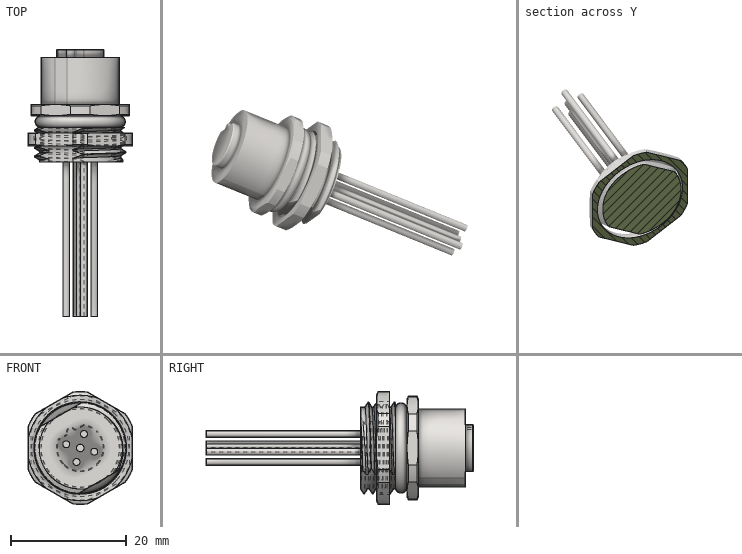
import cadquery as cq
import math


bead_rear_y = 6.0
flange_rear_y = 8.0
flange_front_y = 10.0
shell_front_y = 18.1
tip_front_y = 19.5
nut_rear_y = 2.75
nut_front_y = 5.0

shell_radius = 6.75
flat_distance = 6.65
key_angle = 120

thread_pitch = 1.5
crest_radius = 7.92
root_radius = 7.08
crest_width = 0.1
root_width = 1.2
run_in_start_angle = -50
run_in_angle = 130
thread_crest_y = 1.72
thread_overlap = 0.1
sunk_radius = root_radius - thread_overlap
flank_slope = (root_width - crest_width) / (crest_radius - root_radius)
sunk_width = root_width + flank_slope * thread_overlap

bead_section_radius = (flange_rear_y - bead_rear_y) / 2
bead_centre_radius = 6.8

flange_across_flats = 17.0
flange_corner_radius = 9.0
flange_face_radius = 8.4
nut_across_flats = 18.0
nut_corner_radius = 9.75
nut_face_radius = 9.12
nut_bore_radius = 8.0
bevel_angle = 24

tip_radius = 4.1
tip_chamfer = 0.14
tip_flat_corner_fillet = 0.15
tip_flat_distance = 3.2
key_radius = 0.78
key_fillet = 0.22

lead_length = 26.7
lead_radius = 0.6
centre_lead_radius = 0.65
lead_circle_radius = 2.5
first_lead_angle = 75
outer_lead_count = 4


def section_at(y):
    """Workplane across the axis at the given Y, with local axes X and Z."""
    return cq.Workplane("XZ", origin=(0, y, 0))


def cylinder(radius, rear_y, front_y):
    return section_at(rear_y).circle(radius).extrude(rear_y - front_y)


def double_flat_bar(rear_y, front_y):
    """Wide bar whose two long sides are the flats square to the key direction."""
    width = 4 * flat_distance
    bar = section_at(rear_y).rect(2 * flat_distance, width).extrude(rear_y - front_y)
    return bar.rotate((0, 0, 0), (0, 1, 0), -key_angle)


def hexagon(across_flats, corner_radius, rear_y, front_y):
    """Hexagonal plate with a corner at +Z and all corners rounded to one circle."""
    corner_diameter = across_flats / math.cos(math.radians(30))
    plate = (
        section_at(rear_y)
        .transformed(rotate=(0, 0, 30))
        .polygon(6, corner_diameter)
        .extrude(rear_y - front_y)
    )
    return plate.intersect(cylinder(corner_radius, rear_y, front_y))


def bevelled_disc(corner_radius, face_radius, rear_y, front_y, bevel_front):
    """Disc with a conical bevel on its rear rim, and on its front rim if asked."""
    bevel_depth = (corner_radius - face_radius) * math.tan(math.radians(bevel_angle))
    outline = (
        cq.Workplane("XY")
        .moveTo(0, rear_y)
        .lineTo(face_radius, rear_y)
        .lineTo(corner_radius, rear_y + bevel_depth)
    )
    if bevel_front:
        outline = outline.lineTo(corner_radius, front_y - bevel_depth).lineTo(face_radius, front_y)
    else:
        outline = outline.lineTo(corner_radius, front_y)
    return outline.lineTo(0, front_y).close().revolve(360, (0, 0, 0), (0, 1, 0))


def helix_edge(radius, end_radius, axial_shift, height):
    """Right-handed helix along +Z from the +X side, on a cylinder or on a widening cone."""
    if end_radius == radius:
        helix = cq.Wire.makeHelix(thread_pitch, height, radius)
    else:
        cone_angle = math.atan2(end_radius - radius, height)
        slant = 1 / math.cos(cone_angle)
        helix = cq.Wire.makeHelix(
            thread_pitch * slant, height * slant, radius, angle=math.degrees(cone_angle)
        )
    return helix.translate(cq.Vector(0, 0, axial_shift)).Edges()[0]


def thread_ridge(start_angle, turns, start_crest_radius):
    """Helical ridge toward +Y, made of ruled faces between the helices at its section's corners.

    The start angle is measured from +X toward -Z. The crest begins at its given radius
    and reaches its full radius at the end.
    """
    corners = [
        (sunk_radius, sunk_radius, -sunk_width / 2),
        (start_crest_radius, crest_radius, -crest_width / 2),
        (start_crest_radius, crest_radius, crest_width / 2),
        (sunk_radius, sunk_radius, sunk_width / 2),
    ]
    helices = [helix_edge(*corner, turns * thread_pitch) for corner in corners]
    faces = [cq.Face.makeRuledSurface(helices[i - 1], helices[i]) for i in range(len(helices))]
    for end in (0, 1):
        rim = [helix.positionAt(end) for helix in helices]
        faces.append(cq.Face.makeFromWires(cq.Wire.makePolygon(rim, close=True)))
    start_y = thread_crest_y - thread_pitch + thread_pitch * start_angle / 360
    return (
        cq.Workplane(obj=cq.Solid.makeSolid(cq.Shell.makeShell(faces)))
        .rotate((0, 0, 0), (0, 0, 1), start_angle)
        .rotate((0, 0, 0), (1, 0, 0), -90)
        .translate((0, start_y, 0))
    )


def threaded_section():
    """Core with a right-handed ridge, cut square at both ends and flattened on two sides."""
    full_turns = math.ceil(bead_rear_y / thread_pitch) + 1
    overrun = thread_pitch * (full_turns + 1)
    run_in = thread_ridge(run_in_start_angle, run_in_angle / 360, root_radius)
    ridge = thread_ridge(run_in_start_angle + run_in_angle, full_turns, crest_radius)
    core = cylinder(root_radius, -overrun, bead_rear_y + overrun)
    return core.union(ridge).union(run_in).intersect(double_flat_bar(0, bead_rear_y))


def sealing_bead():
    """Disc with a half-round rim."""
    middle_y = bead_rear_y + bead_section_radius
    return (
        cq.Workplane("XY")
        .moveTo(0, bead_rear_y)
        .lineTo(-bead_centre_radius, bead_rear_y)
        .threePointArc(
            (-bead_centre_radius - bead_section_radius, middle_y),
            (-bead_centre_radius, flange_rear_y),
        )
        .lineTo(0, flange_rear_y)
        .close()
        .revolve(360, (0, 0, 0), (0, 1, 0))
    )


def hex_flange():
    plate = hexagon(flange_across_flats, flange_corner_radius, flange_rear_y, flange_front_y)
    return plate.intersect(
        bevelled_disc(flange_corner_radius, flange_face_radius, flange_rear_y, flange_front_y, True)
    )


def shell():
    barrel = cylinder(shell_radius, flange_front_y, shell_front_y)
    return barrel.intersect(double_flat_bar(flange_front_y, shell_front_y))


def edges_beside_key(offset):
    """Selector for the two lengthwise edges of the tip's flat at this offset either side of +X."""
    middle_y = (shell_front_y + tip_front_y) / 2
    sides = [
        cq.selectors.NearestToPointSelector((tip_flat_distance, middle_y, side * offset))
        for side in (-1, 1)
    ]
    return sides[0] + sides[1]


def plug_tip():
    """Round tip, flattened on the key side, with a rounded key standing on the flat."""
    length = tip_front_y - shell_front_y
    flat_cut = (
        section_at(shell_front_y)
        .center(tip_flat_distance + tip_radius, 0)
        .rect(2 * tip_radius, 4 * tip_radius)
        .extrude(-length)
    )
    key = section_at(shell_front_y).center(tip_flat_distance, 0).circle(key_radius).extrude(-length)
    tip = cylinder(tip_radius, shell_front_y, tip_front_y).cut(flat_cut).union(key)
    flat_half_width = math.sqrt(tip_radius**2 - tip_flat_distance**2)
    tip = tip.edges(edges_beside_key(key_radius)).fillet(key_fillet)
    tip = tip.edges(edges_beside_key(flat_half_width)).fillet(tip_flat_corner_fillet)
    tip = tip.faces(">Y").chamfer(tip_chamfer)
    return tip.rotate((0, 0, 0), (0, 1, 0), -key_angle)


def leads():
    outer = (
        section_at(0)
        .polarArray(lead_circle_radius, first_lead_angle, 360, outer_lead_count)
        .circle(lead_radius)
        .extrude(lead_length)
    )
    return outer.union(cylinder(centre_lead_radius, -lead_length, 0))


def housing_body():
    body = threaded_section()
    for part in (sealing_bead(), hex_flange(), shell(), plug_tip(), leads()):
        body = body.union(part)
    return body


def lock_nut():
    plate = hexagon(nut_across_flats, nut_corner_radius, nut_rear_y, nut_front_y)
    plate = plate.intersect(
        bevelled_disc(nut_corner_radius, nut_face_radius, nut_rear_y, nut_front_y, False)
    )
    return plate.cut(cylinder(nut_bore_radius, nut_rear_y, nut_front_y))


housing = housing_body()
nut = lock_nut()

result = cq.Compound.makeCompound([housing.val(), nut.val()])